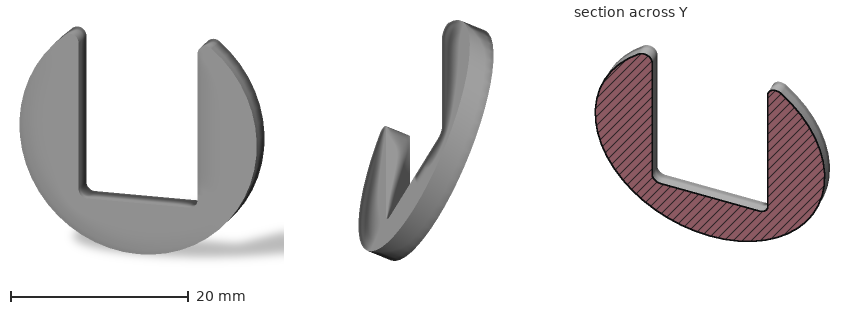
import cadquery as cq

disc_diameter = 27.95
thickness = 3.0
slot_width = 14.0
web_height = 6.0
corner_radius = 1.0

disc_radius = disc_diameter / 2
slot_floor = web_height - disc_radius
slot_height = disc_diameter - web_height

disc = cq.Workplane("XZ").circle(disc_radius).extrude(thickness / 2, both=True)

slot = cq.Workplane("XY").box(
    slot_width, 2 * thickness, slot_height, centered=(True, True, False)
).translate((0, 0, slot_floor))

edge_reach = (slot_width + disc_diameter) / 4
slot_edges = cq.selectors.BoxSelector(
    (-edge_reach, -thickness, -disc_radius),
    (edge_reach, thickness, disc_radius),
)

result = disc.cut(slot).edges("|Y").edges(slot_edges).fillet(corner_radius)